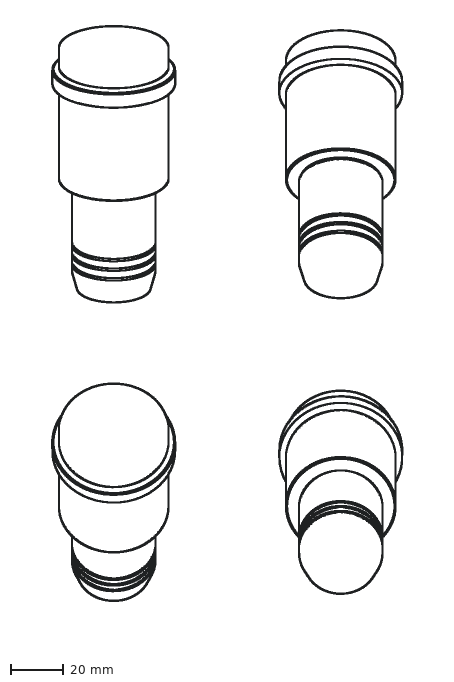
import cadquery as cq
import math

total_height = 100.0
shoulder_z = 45.0
flange_bottom_z = 85.0
flange_top_z = 91.0

body_radius = 21.0
flange_radius = 23.5
shank_radius = 16.0

edge_chamfer = 0.5
head_fillet = 0.3
tip_fillet = 0.3
round_groove_radius = 0.5
round_groove_width = 2 * round_groove_radius
shoulder_relief_width = 1.0
shoulder_relief_depth = 0.5

ring_groove_count = 3
ring_groove_pitch = 4.0
lowest_ring_groove_z = 10.0

taper_height = 7.0
taper_angle = 15.0
tip_radius = shank_radius - taper_height * math.tan(math.radians(taper_angle))


def cylinder(radius, bottom_z, top_z):
    """Upright cylinder on the Z axis."""
    return cq.Workplane("XY").workplane(offset=bottom_z).circle(radius).extrude(top_z - bottom_z)


def cut_round_groove(solid, outer_radius, bottom_z):
    """Cut a half-round ring groove into a cylinder of the given radius."""
    center_z = bottom_z + round_groove_radius
    ring = (
        cq.Workplane("XZ")
        .center(outer_radius, center_z)
        .circle(round_groove_radius)
        .revolve(360, (-outer_radius, 0), (-outer_radius, 1))
    )
    return solid.cut(ring)


relief_z = shoulder_z - shoulder_relief_width
relief_radius = shank_radius - shoulder_relief_depth
shank_profile = [
    (0, 0),
    (tip_radius, 0),
    (shank_radius, taper_height),
    (shank_radius, relief_z),
    (relief_radius, relief_z),
    (relief_radius, shoulder_z),
    (0, shoulder_z),
]
shank = cq.Workplane("XZ").polyline(shank_profile).close().revolve(360, (0, 0), (0, 1))
shank = shank.faces("<Z").edges().fillet(tip_fillet)
for index in range(ring_groove_count):
    shank = cut_round_groove(shank, shank_radius, lowest_ring_groove_z + index * ring_groove_pitch)

body = cylinder(body_radius, shoulder_z, flange_bottom_z).faces("<Z").edges().chamfer(edge_chamfer)
body = cut_round_groove(body, body_radius, flange_bottom_z - round_groove_width)

flange = cylinder(flange_radius, flange_bottom_z, flange_top_z).faces(">Z").edges().chamfer(edge_chamfer)

head = cylinder(body_radius, flange_top_z, total_height).faces(">Z").edges().fillet(head_fillet)
head = cut_round_groove(head, body_radius, flange_top_z)

result = shank.union(body).union(flange).union(head)